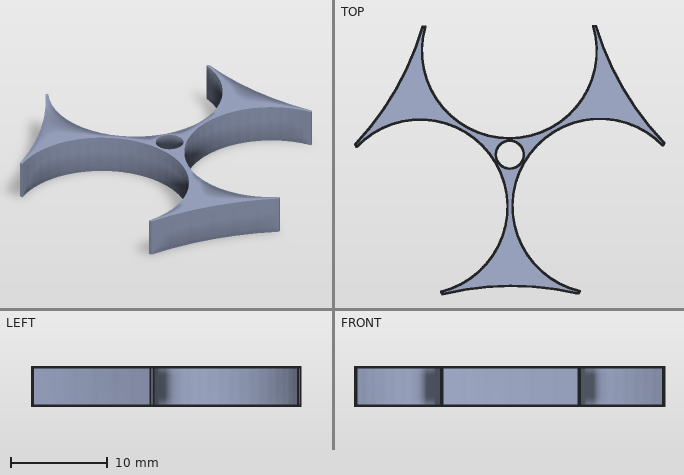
import cadquery as cq
import math

THICKNESS = 4.0
ARM_COUNT = 3
HOLE_DIAMETER = 2.86
NOTCH_RADIUS = 9.0
NOTCH_CENTRE_RADIUS = 10.7
RIM_RADIUS = 30.0
RIM_MID_RADIUS = 13.54
TIP_DISTANCE = 13.25
TURN_ANGLE = 0.25

ARM_STEP = 360.0 / ARM_COUNT
FIRST_NOTCH_ANGLE = 90.0
FIRST_ARM_ANGLE = FIRST_NOTCH_ANGLE + ARM_STEP / 2
RIM_CENTRE_RADIUS = RIM_MID_RADIUS + RIM_RADIUS
BLANK_CIRCUMRADIUS = TIP_DISTANCE / math.cos(math.pi / ARM_COUNT)


def polar_point(radius, angle):
    """Point at a distance from the part centre, angle in degrees."""
    turn = math.radians(angle)
    return (radius * math.cos(turn), radius * math.sin(turn))


def equal_points(radius, first_angle):
    """One point per arm, equally spaced around the part centre."""
    return [polar_point(radius, first_angle + i * ARM_STEP) for i in range(ARM_COUNT)]


def make_blank():
    """Triangular plate whose sides carry the flat tips and whose corners become the arms."""
    corners = equal_points(BLANK_CIRCUMRADIUS, FIRST_ARM_ANGLE)
    return cq.Workplane("XY").polyline(corners).close().extrude(THICKNESS)


def make_cylinders(centres, radius):
    """Full-height cylinders, used as cutters."""
    return cq.Workplane("XY").pushPoints(centres).circle(radius).extrude(THICKNESS)


def make_part():
    notch_centres = equal_points(NOTCH_CENTRE_RADIUS, FIRST_NOTCH_ANGLE)
    rim_centres = equal_points(RIM_CENTRE_RADIUS, FIRST_ARM_ANGLE)
    part = make_blank()
    part = part.cut(make_cylinders(notch_centres, NOTCH_RADIUS))
    part = part.cut(make_cylinders(rim_centres, RIM_RADIUS))
    part = part.cut(make_cylinders([(0, 0)], HOLE_DIAMETER / 2))
    return part.rotate((0, 0, 0), (0, 0, 1), TURN_ANGLE)


result = make_part()